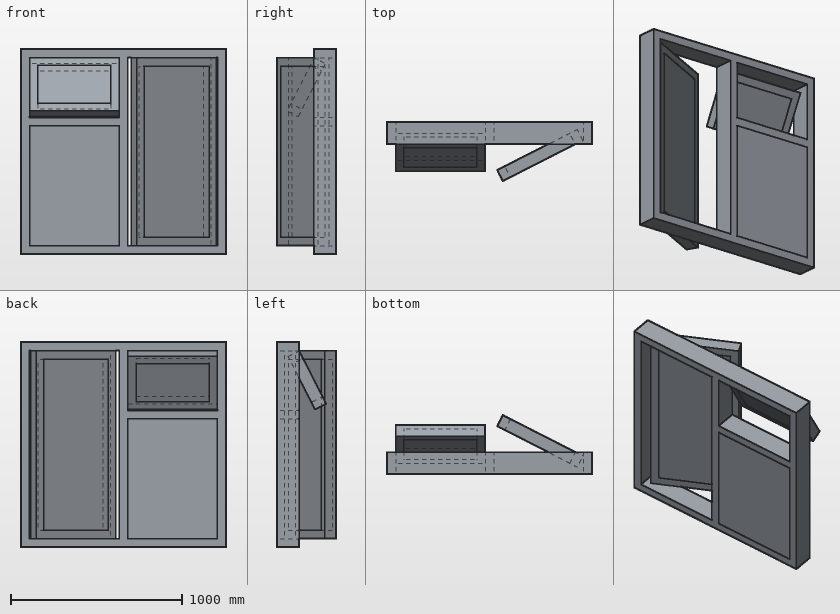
import cadquery as cq

frame_size = 1200.0
frame_depth = 130.0
bar_width = 50.0
upper_opening_height = 349.0

opening_width = (frame_size - 3 * bar_width) / 2
left_x = bar_width
right_x = left_x + opening_width + bar_width
opening_bottom = bar_width
opening_top = frame_size - bar_width
upper_opening_bottom = opening_top - upper_opening_height
lower_opening_height = upper_opening_bottom - bar_width - opening_bottom
side_opening_height = opening_top - opening_bottom

sash_thickness = 73.0
sash_bar_width = 49.0
open_angle = 27.0
side_hinge_gap = 5.0
side_hinge_recess = 22.0


def block(x, z, width, height, depth):
    """Box with its front lower left corner at (x, 0, z), extending toward +Y."""
    return cq.Workplane("XY").box(width, depth, height, centered=False).translate((x, 0, z))


def glass_block(x, z, width, height):
    """Sash pane, flush with both sash faces and inset by the sash bars."""
    return block(
        x + sash_bar_width,
        z + sash_bar_width,
        width - 2 * sash_bar_width,
        height - 2 * sash_bar_width,
        sash_thickness,
    )


def make_frame():
    """Square frame with two openings on the left and a tall one on the right."""
    outer = block(0, 0, frame_size, frame_size, frame_depth)
    lower = block(left_x, opening_bottom, opening_width, lower_opening_height, frame_depth)
    upper = block(left_x, upper_opening_bottom, opening_width, upper_opening_height, frame_depth)
    side = block(right_x, opening_bottom, opening_width, side_opening_height, frame_depth)
    return outer.cut(lower).cut(upper).cut(side)


def make_fixed_pane():
    """Pane that fills the lower left opening."""
    return block(left_x, opening_bottom, opening_width, lower_opening_height, frame_depth)


def make_sash_glass(width, height):
    """Sash pane for a closed sash whose front upper right corner is the origin."""
    return glass_block(-width, -height, width, height)


def make_sash_frame(width, height):
    """Closed sash frame whose front upper right corner is the origin."""
    return block(-width, -height, width, height, sash_thickness).cut(make_sash_glass(width, height))


def open_top_sash(body):
    """Swing about the upper front edge, with the lower edge moving outward."""
    swung = body.rotate((0, 0, 0), (1, 0, 0), -open_angle)
    return swung.translate((left_x + opening_width, 0, opening_top))


def open_side_sash(body):
    """Swing about the right front edge, with the left edge moving outward."""
    swung = body.rotate((0, 0, 0), (0, 0, 1), open_angle)
    hinge_x = right_x + opening_width - side_hinge_gap
    return swung.translate((hinge_x, side_hinge_recess, opening_top))


frame = make_frame()
fixed_pane = make_fixed_pane()
top_sash_frame = open_top_sash(make_sash_frame(opening_width, upper_opening_height))
top_sash_glass = open_top_sash(make_sash_glass(opening_width, upper_opening_height))
side_sash_frame = open_side_sash(make_sash_frame(opening_width, side_opening_height))
side_sash_glass = open_side_sash(make_sash_glass(opening_width, side_opening_height))

result = cq.Compound.makeCompound([
    frame.val(),
    fixed_pane.val(),
    top_sash_frame.val(),
    top_sash_glass.val(),
    side_sash_frame.val(),
    side_sash_glass.val(),
])